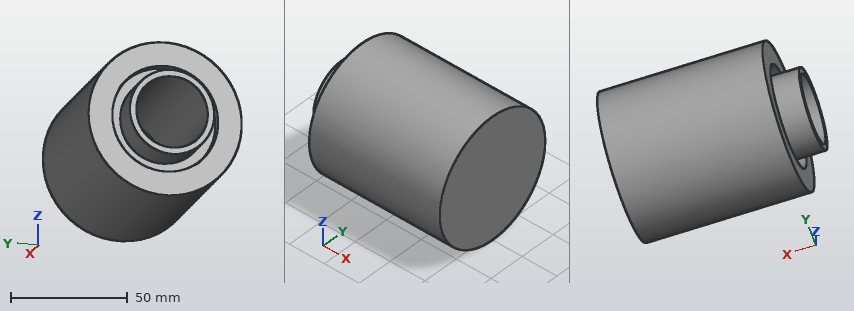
import cadquery as cq

total_length = 86.2
spigot_projection = 11.2
body_diameter = 68.0

recess_diameter = 47.0
spigot_diameter = 37.4
bore_diameter = 31.7
recess_depth = 4.7
bore_depth = 77.6

body_length = total_length - spigot_projection


def cylinder_along_x(diameter, start, length):
    """Solid cylinder on the X axis, from start towards +X."""
    return cq.Workplane("YZ").workplane(offset=start).circle(diameter / 2).extrude(length)


body = cylinder_along_x(body_diameter, spigot_projection, body_length)
recess = cylinder_along_x(recess_diameter, spigot_projection, recess_depth)
spigot = cylinder_along_x(spigot_diameter, 0, spigot_projection + recess_depth)

bore = cylinder_along_x(bore_diameter, 0, bore_depth)

result = body.cut(recess).union(spigot).cut(bore)